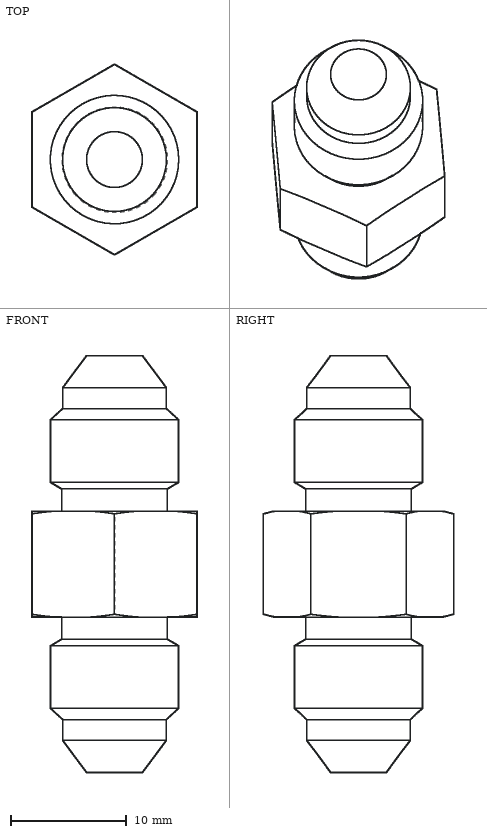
import cadquery as cq
import math

total_length = 36.07
hex_across_flats = 14.3
hex_length = 9.15
neck_diameter = 9.15
thread_diameter = 11.1
nose_diameter = 8.98
tip_diameter = 4.85

neck_end = 6.5
thread_start = 7.07
thread_end = 12.48
nose_start = 13.45
nose_end = 15.25

hex_chamfer_diameter = 14.7
hex_chamfer_angle = 15.0

half_length = total_length / 2
hex_half_length = hex_length / 2
hex_corner_radius = hex_across_flats / 2 / math.cos(math.radians(30))


def revolve_mirrored(upper_profile):
    """Revolve (radius, height) points about Z, mirrored below the middle plane."""
    lower_profile = [(radius, -height) for radius, height in reversed(upper_profile)]
    top = upper_profile[-1][1]
    outline = [(0, -top)] + lower_profile + upper_profile + [(0, top)]
    return cq.Workplane("XZ").polyline(outline).close().revolve(360, (0, 0, 0), (0, 1, 0))


def make_hexagon():
    """Hexagon with flats facing X and its corners chamfered at both ends."""
    prism = (
        cq.Workplane("XY")
        .polygon(6, 2 * hex_corner_radius)
        .extrude(hex_half_length, both=True)
        .rotate((0, 0, 0), (0, 0, 1), 30)
    )
    chamfer_radius = hex_chamfer_diameter / 2
    corner_drop = (hex_corner_radius - chamfer_radius) * math.tan(math.radians(hex_chamfer_angle))
    overshoot = 0.35
    overshoot_drop = overshoot * math.tan(math.radians(hex_chamfer_angle))
    envelope = revolve_mirrored([
        (hex_corner_radius + overshoot, hex_half_length - corner_drop - overshoot_drop),
        (chamfer_radius, hex_half_length),
    ])
    return prism.intersect(envelope)


def make_turned_body():
    """Necks, threaded lengths and flare noses at both ends."""
    return revolve_mirrored([
        (neck_diameter / 2, neck_end),
        (thread_diameter / 2, thread_start),
        (thread_diameter / 2, thread_end),
        (nose_diameter / 2, nose_start),
        (nose_diameter / 2, nose_end),
        (tip_diameter / 2, half_length),
    ])


result = make_hexagon().union(make_turned_body())